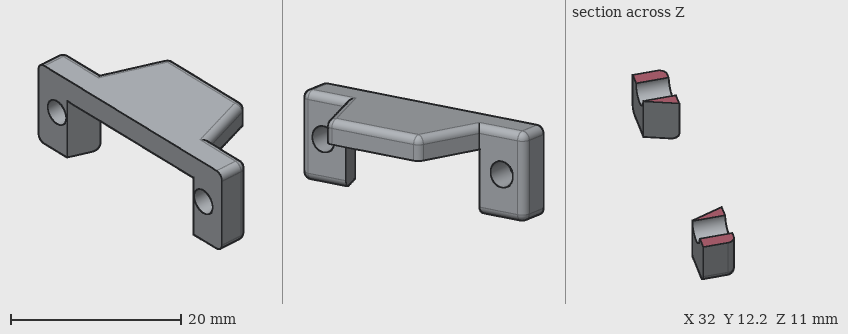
import cadquery as cq
import math

length = 32.0
depth = 12.22
height = 11.0
flange_depth = 4.0
plate_thickness = 3.0
leg_width = 5.0
taper_angle = 20.0
round_radius = 1.0
hole_diameter = 3.2
hole_spacing = 25.55
hole_height = 5.5

taper = math.tan(math.radians(taper_angle))
front_half_width = length / 2 - leg_width
tip_half_width = front_half_width - depth * taper
plate_bottom = height - plate_thickness


def make_flange():
    """Upright plate with rounded outer corners along Y."""
    plate = cq.Workplane("XY").box(length, flange_depth, height, centered=(True, False, False))
    return plate.edges("|Y").fillet(round_radius)


def make_tapered_prism(thickness):
    """Trapezoid narrowing from the front face to the tip, standing on Z = 0."""
    outline = [
        (-front_half_width, 0),
        (front_half_width, 0),
        (tip_half_width, depth),
        (-tip_half_width, depth),
    ]
    return cq.Workplane("XY").polyline(outline).close().extrude(thickness)


def make_tongue():
    """Tapered top plate with rounded tip corners and upper side edges."""
    tongue = make_tapered_prism(plate_thickness)
    tip_corners = tongue.faces(">Y").edges("|Z")
    tongue = tip_corners.fillet(round_radius)
    rounded_edges = tongue.faces(">Z").edges("not <Y")
    return rounded_edges.fillet(round_radius).translate((0, 0, plate_bottom))


flange = make_flange().faces(">Y").edges().fillet(round_radius)
opening = make_tapered_prism(plate_bottom)
body = flange.cut(opening).union(make_tongue())

holes = (
    cq.Workplane("XZ")
    .pushPoints([(-hole_spacing / 2, hole_height), (hole_spacing / 2, hole_height)])
    .circle(hole_diameter / 2)
    .extrude(-flange_depth)
)

result = body.cut(holes)